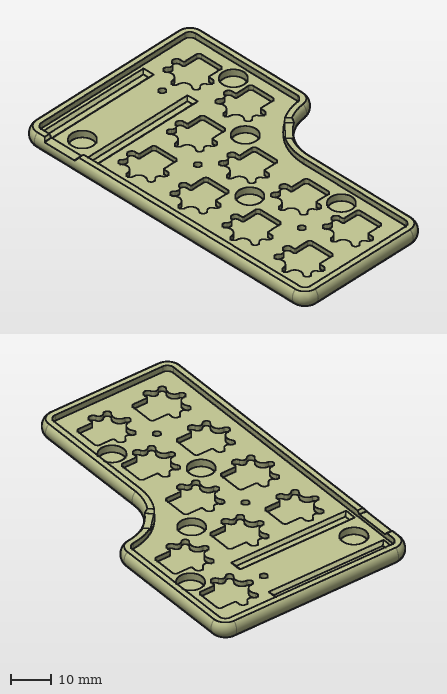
import cadquery as cq
import math

LENGTH = 98.9
WIDTH = 59.5
SHOULDER_WIDTH = 42.6
THICKNESS = 4.6
CORNER_RADIUS = 4.55
SWEEP_RADIUS = 14.4
WIDE_END_FLAT = 40.1
EDGE_RADIUS = 3.2

RIM_WIDTH = 2.7
TRAY_DEPTH = 1.8
TOP = THICKNESS / 2
TRAY_FLOOR = TOP - TRAY_DEPTH

COLUMN_PITCH = 18.1
ROW_PITCH = 17.1
FIRST_COLUMN_X = 13.4
BOTTOM_ROW_Y = 12.8
COLUMNS_IN_ROW = [(1, 2, 3, 4), (1, 2, 3, 4), (0, 1)]
POCKET_DEPTH = 1.5

HEAD_HALF_WIDTH = 4.3
HEAD_TOP = 6.5
HEAD_CORNER_RADIUS = 0.9
NECK_RADIUS = 0.3
SIDE_LOBE = (5.6, 0.1, 1.2)
LOWER_LOBE = (5.0, -3.9, 1.0)
END_LOBE = (0.0, -6.1, 1.0)
SIDE_VALLEY_RADIUS = 1.2
LOWER_VALLEY_RADIUS = 2.1

SCREW_HOLE_DIAMETER = 2.1
SCREW_HOLE_END_Y = 36.3
MAGNET_DIAMETER = 7.2
MAGNET_DEPTH = 2.2
MAGNET_UPPER_Y = 52.2
MAGNET_INNER_Y = 38.1
MAGNET_ARM_Y = 35.3
MAGNET_END = (13.1, 8.4)

SLOT_WIDTH = 3.6
SLOT_LENGTH = 35.8
SLOT_LEFT_EDGES = (3.8, 19.1)
SLOT_LOWER_EDGE = 3.6
SLOT_DEPTH = 0.9
SLOT_TAPER = 45.0

NOTCH_END_SLOPE = 0.7
FRONT_NOTCH_WIDTH = 11.9
FRONT_NOTCH_DEPTH = 0.8
FRONT_NOTCH_FALL = 5.0
FRONT_NOTCH_X = 13.2
SWEEP_NOTCH_WIDTH = 8.2
SWEEP_NOTCH_DEPTH = 1.0
SWEEP_NOTCH_ANGLE = 45.0
LIP_RUN = 0.9
LIP_ANGLE = 30.0


def column_x(column):
    return FIRST_COLUMN_X + column * COLUMN_PITCH


def row_y(row):
    return BOTTOM_ROW_Y + row * ROW_PITCH


corner_x = WIDE_END_FLAT
corner_y = WIDTH - CORNER_RADIUS
sweep_y = SHOULDER_WIDTH + SWEEP_RADIUS
centre_distance = CORNER_RADIUS + SWEEP_RADIUS
sweep_x = corner_x + math.sqrt(centre_distance**2 - (sweep_y - corner_y) ** 2)


def plate_outline(inset):
    """Closed plate outline, moved inward by `inset`."""
    radius = CORNER_RADIUS - inset
    left = inset
    right = LENGTH - inset
    bottom = inset
    shoulder = SHOULDER_WIDTH - inset
    end_top = WIDTH - inset
    blend_x = corner_x + (sweep_x - corner_x) * radius / centre_distance
    blend_y = corner_y + (sweep_y - corner_y) * radius / centre_distance
    return (
        cq.Workplane("XY")
        .moveTo(left + radius, bottom)
        .lineTo(right - radius, bottom)
        .tangentArcPoint((right, bottom + radius), relative=False)
        .lineTo(right, shoulder - radius)
        .tangentArcPoint((right - radius, shoulder), relative=False)
        .lineTo(sweep_x, shoulder)
        .tangentArcPoint((blend_x, blend_y), relative=False)
        .tangentArcPoint((corner_x, end_top), relative=False)
        .lineTo(left + radius, end_top)
        .tangentArcPoint((left, end_top - radius), relative=False)
        .lineTo(left, bottom + radius)
        .tangentArcPoint((left + radius, bottom), relative=False)
        .close()
    )


def bulging_rim():
    """Raised rim, swept round the outline, with an upright inner wall and an arc outside."""
    edge_setback = EDGE_RADIUS - math.sqrt(EDGE_RADIUS**2 - TOP**2)
    profile = (
        cq.Workplane("YZ", origin=(CORNER_RADIUS, 0, 0))
        .moveTo(RIM_WIDTH, TOP)
        .lineTo(edge_setback, TOP)
        .threePointArc((0, 0), (edge_setback, -TOP))
        .lineTo(RIM_WIDTH, -TOP)
        .close()
    )
    return profile.sweep(plate_outline(0))


def tray_floor():
    """Flat floor, running under half the width of the rim."""
    floor = plate_outline(RIM_WIDTH / 2).extrude(THICKNESS - TRAY_DEPTH)
    return floor.translate((0, 0, -TOP))


def circle_between(first, second, radius):
    """Centre of the circle touching two lobes from outside, on the left when going first to second."""
    x1, y1, r1 = first
    x2, y2, r2 = second
    span = math.hypot(x2 - x1, y2 - y1)
    along = ((r1 + radius) ** 2 - (r2 + radius) ** 2 + span**2) / (2 * span)
    aside = math.sqrt((r1 + radius) ** 2 - along**2)
    ux = (x2 - x1) / span
    uy = (y2 - y1) / span
    return (x1 + along * ux - aside * uy, y1 + along * uy + aside * ux)


def touch_point(lobe, valley):
    """Point where a lobe meets the neighbouring valley circle."""
    x, y, radius = lobe
    reach = math.hypot(valley[0] - x, valley[1] - y)
    return (x + radius * (valley[0] - x) / reach, y + radius * (valley[1] - y) / reach)


def switch_pocket():
    """Cutter with a square head and five rounded lobes, mirrored about its own Y axis."""
    side_valley = circle_between(SIDE_LOBE, LOWER_LOBE, SIDE_VALLEY_RADIUS)
    lower_valley = circle_between(LOWER_LOBE, END_LOBE, LOWER_VALLEY_RADIUS)
    ledge = SIDE_LOBE[1] + SIDE_LOBE[2]
    tip = END_LOBE[1] - END_LOBE[2]
    return (
        cq.Workplane("XY", origin=(0, 0, TRAY_FLOOR - POCKET_DEPTH))
        .moveTo(0, HEAD_TOP)
        .lineTo(HEAD_HALF_WIDTH - HEAD_CORNER_RADIUS, HEAD_TOP)
        .tangentArcPoint((HEAD_HALF_WIDTH, HEAD_TOP - HEAD_CORNER_RADIUS), relative=False)
        .lineTo(HEAD_HALF_WIDTH, ledge + NECK_RADIUS)
        .tangentArcPoint((HEAD_HALF_WIDTH + NECK_RADIUS, ledge), relative=False)
        .lineTo(SIDE_LOBE[0], ledge)
        .tangentArcPoint(touch_point(SIDE_LOBE, side_valley), relative=False)
        .tangentArcPoint(touch_point(LOWER_LOBE, side_valley), relative=False)
        .tangentArcPoint(touch_point(LOWER_LOBE, lower_valley), relative=False)
        .tangentArcPoint(touch_point(END_LOBE, lower_valley), relative=False)
        .tangentArcPoint((0, tip), relative=False)
        .mirrorY()
        .extrude(POCKET_DEPTH)
    )


def slot_cutter(left_edge):
    """Slot narrowing towards its floor."""
    return (
        cq.Workplane("XY", origin=(left_edge, SLOT_LOWER_EDGE, TRAY_FLOOR))
        .rect(SLOT_WIDTH, SLOT_LENGTH, centered=False)
        .extrude(-SLOT_DEPTH, taper=SLOT_TAPER)
    )


def notch_cutter(width, depth, reach):
    """Trapezoidal notch, open at the top, running from the origin along -Y."""
    floor = TOP - depth
    mouth = TOP + depth
    half_mouth = width / 2 + NOTCH_END_SLOPE
    half_floor = width / 2 - NOTCH_END_SLOPE
    return (
        cq.Workplane("XZ")
        .polyline([(-half_mouth, mouth), (half_mouth, mouth), (half_floor, floor), (-half_floor, floor)])
        .close()
        .extrude(reach)
    )


def ramp_cutter(width, depth, start, run, angle):
    """Wedge below a notch floor, deepening along -Y from a distance `start` off the origin."""
    floor = TOP - depth
    drop = run * math.tan(math.radians(angle))
    floor_width = width - 2 * NOTCH_END_SLOPE
    return (
        cq.Workplane("YZ", origin=(-floor_width / 2, 0, 0))
        .polyline([(-start, floor), (-start - run, floor), (-start - run, floor - drop)])
        .close()
        .extrude(floor_width)
    )


plate = bulging_rim().union(tray_floor())

pocket = switch_pocket()
for row, columns in enumerate(COLUMNS_IN_ROW):
    for column in columns:
        plate = plate.cut(pocket.translate((column_x(column), row_y(row), 0)))

for slot_left_edge in SLOT_LEFT_EDGES:
    plate = plate.cut(slot_cutter(slot_left_edge))

hole_places = [
    (column_x(0), SCREW_HOLE_END_Y),
    (column_x(1.5), row_y(0.5)),
    (column_x(3.5), row_y(0.5)),
]
screw_holes = cq.Workplane("XY", origin=(0, 0, -TOP)).pushPoints(hole_places)
plate = plate.cut(screw_holes.circle(SCREW_HOLE_DIAMETER / 2).extrude(THICKNESS))

magnet_places = [
    (column_x(0.5), MAGNET_UPPER_Y),
    (column_x(1.5), MAGNET_INNER_Y),
    (column_x(2.5), row_y(0.5)),
    (column_x(3.5), MAGNET_ARM_Y),
    MAGNET_END,
]
magnet_seats = cq.Workplane("XY", origin=(0, 0, TRAY_FLOOR)).pushPoints(magnet_places)
plate = plate.cut(magnet_seats.circle(MAGNET_DIAMETER / 2).extrude(-MAGNET_DEPTH))

front_cutters = [
    notch_cutter(FRONT_NOTCH_WIDTH, FRONT_NOTCH_DEPTH, RIM_WIDTH),
    ramp_cutter(FRONT_NOTCH_WIDTH, FRONT_NOTCH_DEPTH, 0, RIM_WIDTH, FRONT_NOTCH_FALL),
]
for cutter in front_cutters:
    plate = plate.cut(cutter.translate((FRONT_NOTCH_X, RIM_WIDTH, 0)))

tray_wall_radius = SWEEP_RADIUS + RIM_WIDTH
lip_start = math.sqrt(tray_wall_radius**2 - (SWEEP_NOTCH_WIDTH / 2) ** 2)
sweep_cutters = [
    notch_cutter(SWEEP_NOTCH_WIDTH, SWEEP_NOTCH_DEPTH, tray_wall_radius + RIM_WIDTH),
    ramp_cutter(SWEEP_NOTCH_WIDTH, SWEEP_NOTCH_DEPTH, lip_start, LIP_RUN, LIP_ANGLE),
]
for cutter in sweep_cutters:
    turned = cutter.rotate((0, 0, 0), (0, 0, 1), -SWEEP_NOTCH_ANGLE)
    plate = plate.cut(turned.translate((sweep_x, sweep_y, 0)))

result = plate